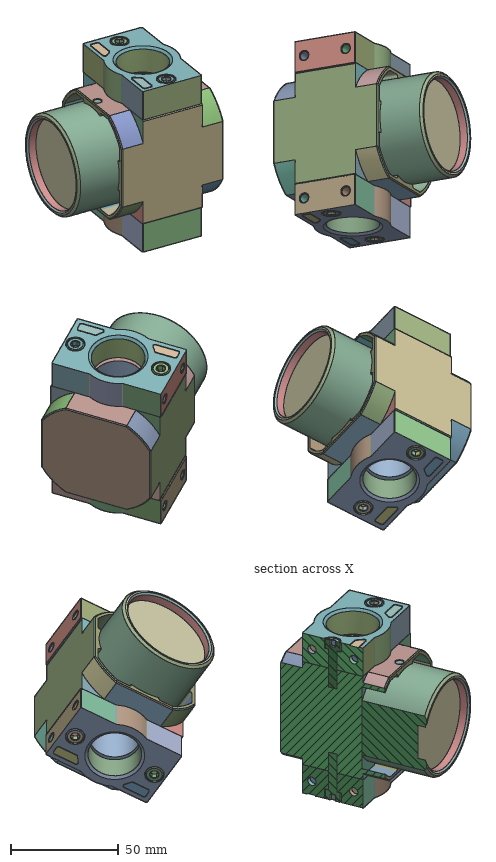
import cadquery as cq

overall_height = 85.0
housing_size = 55.0
half_size = housing_size / 2
edge_chamfer = 0.5

corner_diameter = 63.0
waist_depth = 32.0
flow_bore_diameter = 24.0

pocket_half_width = 25.5
pocket_diameter = 59.2
pocket_land_half_width = 7.6
pocket_fillet = 1.0
pocket_depth = 12.0

dial_diameter = 50.0
dial_protrusion = 22.0
dial_chamfer = 1.2
dial_mouth_diameter = 45.7
dial_recess_diameter = 44.0
dial_recess_depth = 4.7

pin_diameter = 3.8
pin_hole_rim_diameter = 4.3
pin_length = 1.7
pin_y = -24.5

flange_shift = -0.5
flange_height = (overall_height - housing_size) / 2
flange_edge_chamfer = 0.3
boss_diameter = 35.95
boss_blend_radius = 1.3
port_rim_diameter = 27.8
port_chamfer_height = 1.0
port_top_diameter = 25.0
port_bottom_diameter = 24.2
seal_recess_diameter = 30.4
seal_recess_depth = 2.0

label_outer_x = 25.1
label_slant_top_x = 15.0
label_slant_bottom_x = 11.3
label_top_y = -9.0
label_bottom_y = -13.8
label_fillet = 1.0
label_depth = 0.3

side_hole_diameter = 4.2
side_hole_rim_diameter = 5.0
side_hole_depth = 10.0
side_hole_y = 11.0

screw_x = 21.5
screw_head_diameter = 8.5
screw_head_height = 5.0
screw_head_chamfer = 0.6
screw_shank_diameter = 5.0
screw_thread_engagement = 10.0
counterbore_diameter = 9.0
socket_across_flats = 3.8
socket_rim_diameter = 4.4
socket_depth = 3.0
socket_tip_depth = 1.1

flange_top = overall_height / 2
screw_positions = [(-screw_x, 0), (screw_x, 0)]
upper_and_lower = [0, 180]


def cylinder_z(diameter, bottom, top):
    return cq.Workplane().workplane(offset=bottom).circle(diameter / 2).extrude(top - bottom)


def cone_z(bottom_diameter, top_diameter, bottom, top):
    cone = cq.Solid.makeCone(
        bottom_diameter / 2, top_diameter / 2, top - bottom, pnt=cq.Vector(0, 0, bottom)
    )
    return cq.Workplane(cone)


def cylinder_y(diameter, front, back):
    return cq.Workplane("XZ", origin=(0, back, 0)).circle(diameter / 2).extrude(back - front)


def turned_about_x(body, angle):
    return body.rotate((0, 0, 0), (1, 0, 0), angle)


def make_corner_pocket():
    """One corner pocket in the +X +Z quadrant; its inner corner lies inside the dial seat."""
    width = pocket_half_width - pocket_land_half_width
    middle = (pocket_half_width + pocket_land_half_width) / 2
    block = (
        cq.Workplane("XZ", origin=(0, -half_size + pocket_depth, 0))
        .center(middle, middle)
        .rect(width, width)
        .extrude(pocket_depth)
        .edges("|Y and ((<X and >Z) or (>X and <Z))")
        .fillet(pocket_fillet)
    )
    return block.intersect(cylinder_y(pocket_diameter, -half_size, half_size))


def make_housing():
    body = (
        cq.Workplane()
        .box(housing_size, housing_size, housing_size)
        .intersect(cylinder_y(corner_diameter, -half_size, half_size))
        .faces("<Y or >Y")
        .chamfer(edge_chamfer)
    )
    waist = cq.Workplane().box(housing_size, waist_depth, housing_size).edges("|Y").chamfer(edge_chamfer)
    body = body.union(waist)

    body = body.cut(cylinder_z(flow_bore_diameter, -half_size, half_size))
    body = body.cut(cylinder_y(dial_diameter, -half_size, -half_size + pocket_depth))

    corner_pocket = make_corner_pocket()
    for angle in (0, 90, 180, 270):
        body = body.cut(corner_pocket.rotate((0, 0, 0), (0, 1, 0), angle))

    rim_depth = (pin_hole_rim_diameter - pin_diameter) / 2
    pin_hole = cylinder_z(pin_diameter, half_size - rim_depth - pin_length, half_size).union(
        cone_z(pin_diameter, pin_hole_rim_diameter, half_size - rim_depth, half_size)
    )
    body = body.cut(pin_hole.translate((0, pin_y, 0)))

    screw_hole = cylinder_z(screw_shank_diameter, half_size - screw_thread_engagement, half_size)
    for x, y in screw_positions:
        for angle in upper_and_lower:
            body = body.cut(turned_about_x(screw_hole.translate((x, y, 0)), angle))
    return body


def make_dial():
    front = -half_size - dial_protrusion
    dial = cylinder_y(dial_diameter, front, -half_size + pocket_depth).faces("<Y").chamfer(dial_chamfer)
    recess = cylinder_y(dial_recess_diameter, front, front + dial_recess_depth)
    mouth_chamfer = (dial_mouth_diameter - dial_recess_diameter) / 2
    return dial.cut(recess).edges(cq.selectors.RadiusNthSelector(0)).edges("<Y").chamfer(mouth_chamfer)


def make_pin():
    top = half_size - (pin_hole_rim_diameter - pin_diameter) / 2
    return cylinder_z(pin_diameter, top - pin_length, top).translate((0, pin_y, 0))


def make_label_pocket(side):
    """Shallow label pocket on the left (side = -1) or right (side = 1) of the port."""
    outer_x = side * label_outer_x + flange_shift
    return (
        cq.Workplane()
        .workplane(offset=flange_top - label_depth)
        .moveTo(outer_x, label_top_y)
        .lineTo(side * label_slant_top_x, label_top_y)
        .lineTo(side * label_slant_bottom_x, label_bottom_y)
        .lineTo(outer_x, label_bottom_y)
        .close()
        .extrude(label_depth)
        .edges("|Z")
        .fillet(label_fillet)
    )


def make_side_hole(y):
    rim_depth = (side_hole_rim_diameter - side_hole_diameter) / 2
    hole = cylinder_z(side_hole_diameter, 0, side_hole_depth).union(
        cone_z(side_hole_rim_diameter, side_hole_diameter, 0, rim_depth)
    )
    face_x = flange_shift - half_size
    return hole.rotate((0, 0, 0), (0, 1, 0), 90).translate((face_x, y, flange_top - flange_height / 2))


def make_flange():
    """Upper flange; the lower one is the same part turned half a turn about X."""
    boss = cylinder_z(boss_diameter, half_size, flange_top)
    body = (
        cq.Workplane()
        .workplane(offset=half_size)
        .rect(housing_size, waist_depth)
        .extrude(flange_height)
        .edges("|Z")
        .chamfer(flange_edge_chamfer)
        .union(boss)
    )
    boss_radius = boss_diameter / 2
    boss_joints = cq.selectors.BoxSelector(
        (-boss_radius, -boss_radius, half_size), (boss_radius, boss_radius, flange_top)
    )
    body = body.edges("|Z").edges(boss_joints).fillet(boss_blend_radius).translate((flange_shift, 0, 0))

    mouth_bottom = flange_top - port_chamfer_height
    recess_top = half_size + seal_recess_depth
    body = body.cut(cone_z(port_top_diameter, port_rim_diameter, mouth_bottom, flange_top))
    body = body.cut(cone_z(port_bottom_diameter, port_top_diameter, recess_top, mouth_bottom))
    body = body.cut(cylinder_z(seal_recess_diameter, half_size, recess_top))

    screw_hole = cylinder_z(screw_shank_diameter, half_size, flange_top).union(
        cylinder_z(counterbore_diameter, flange_top - screw_head_height, flange_top)
    )
    for x, y in screw_positions:
        body = body.cut(screw_hole.translate((x, y, 0)))

    for side in (-1, 1):
        body = body.cut(make_label_pocket(side))
    for y in (-side_hole_y, side_hole_y):
        body = body.cut(make_side_hole(y))
    return body


def make_screw():
    """Socket head screw on the Z axis, with its head flush with the top of the upper flange."""
    head_bottom = flange_top - screw_head_height
    head = cylinder_z(screw_head_diameter, head_bottom, flange_top).faces(">Z").chamfer(screw_head_chamfer)
    shank = cylinder_z(screw_shank_diameter, half_size - screw_thread_engagement, head_bottom)
    body = head.union(shank)

    socket_floor = flange_top - socket_depth
    socket = (
        cq.Workplane()
        .workplane(offset=socket_floor)
        .polygon(6, socket_across_flats, circumscribed=True)
        .extrude(socket_depth)
    )
    rim_depth = (socket_rim_diameter - socket_across_flats) / 2
    body = body.cut(socket)
    body = body.cut(cone_z(socket_across_flats, socket_rim_diameter, flange_top - rim_depth, flange_top))
    return body.cut(cone_z(0, socket_across_flats, socket_floor - socket_tip_depth, socket_floor))


housing = make_housing()
dial = make_dial()
pin = make_pin()
flanges = [turned_about_x(make_flange(), angle) for angle in upper_and_lower]
screws = [
    turned_about_x(make_screw().translate((x, y, 0)), angle)
    for angle in upper_and_lower
    for x, y in screw_positions
]

result = cq.Compound.makeCompound(
    [
        housing.val(),
        dial.val(),
        pin.val(),
        *[flange.val() for flange in flanges],
        *[screw.val() for screw in screws],
    ]
)